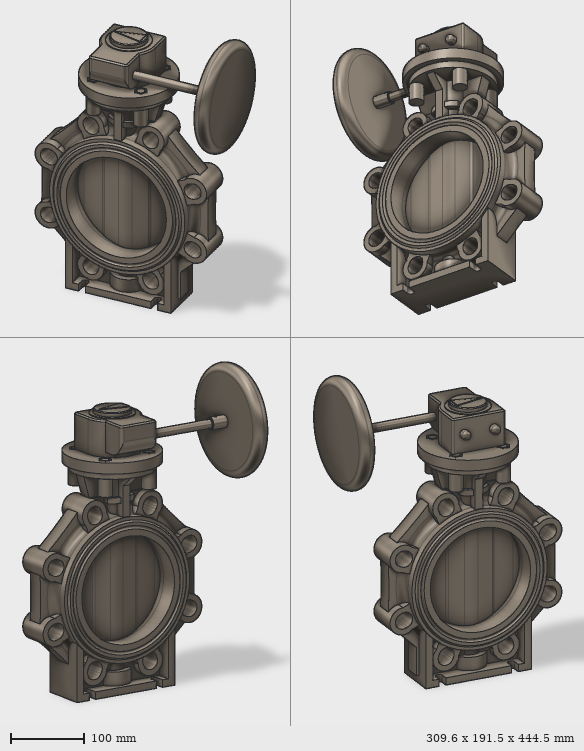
import cadquery as cq
import math


bore_radius = 76.5
barrel_radius = 103.0
barrel_half_length = 36.0
liner_half_length = 38.5
liner_outer_radius = 98.3
liner_crest_radius = 95.5
liner_groove_outer = 90.5
liner_groove_inner = 86.0
liner_groove_depth = 2.5

lug_count = 8
lug_step = 360 / lug_count
lug_circle_radius = 120.0
lug_radius = 20.0
lug_arm_half_width = 18.5
lug_half_length = 25.0
slot_centre_radius = 118.5
slot_width = 23.0
slot_length = 26.2
rim_half_thickness = 12.0
rim_mid_radius = 126.3
rim_corner_radius = 139.0
rim_cove_radius = 12.5

disc_hub_half_width = 10.2
disc_hub_half_thickness = 11.5
disc_hub_side = 10.5
disc_step_outer = 37.0
disc_step_inner = 33.5
disc_step_top = 7.5
disc_step_bottom = 6.2
disc_edge_x = 67.0
disc_edge_half_thickness = 3.5

bracket_bottom_z = -148.0
bracket_top_z = -57.0
bracket_half_width = 80.5
bracket_half_depth = 33.5
bracket_wall = 10.5
bracket_floor_z = bracket_bottom_z + bracket_wall
foot_slot_x = 55.0
foot_slot_width = 10.2
foot_slot_depth = 16.0
side_pad_thickness = 4.0
side_pad_bottom_z = -135.5
side_pad_top_z = -93.5
lower_bearing_radius = 26.0
lower_bearing_top_z = -118.0
lower_stem_radius = 16.5

neck_radius = 24.5
neck_bottom_z = 122.0
upper_stem_radius = 20.5
collar_radius = 30.0
collar_half_width = 22.0
collar_top_z = 130.3
neck_web_half_thickness = 9.5
neck_web_top_half_width = 54.2
neck_web_bottom_half_width = 44.5
lug_top_z = lug_circle_radius * math.cos(math.radians(lug_step / 2)) + lug_radius
neck_rib_half_width = 6.0
neck_rib_reach = 34.2
neck_rib_top_reach = 55.5
neck_rib_slope_z = 147.5
valve_flange_radius = 60.5
valve_flange_bottom_z = 165.0
joint_z = 174.7
nut_radius = 10.2
nut_bottom_z = 139.0

bolt_offset = 36.0
bolt_radius = 6.0
operator_flange_radius = 69.0
operator_flange_top_z = 190.5
hex_pocket_diameter = 19.0
hex_pocket_depth = 4.5

housing_radius = 40.5
housing_back_y = 34.2
housing_top_z = 242.5
housing_edge_chamfer = 2.2
housing_corner_radius = 3.0
nose_half_width = 30.0
nose_front_y = -65.5
nose_bottom_z = 197.5
nose_belly_radius = 22.5
nose_corner_radius = 5.0
nose_foot_half_width = 20.5
nose_foot_front_y = -38.2
screw_radius = 6.5
screw_x = 22.5
screw_z = 218.0
screw_end_y = 46.0
screw_dome = 5.5

indicator_base_radius = 32.0
indicator_base_height = 1.5
indicator_radius = 26.2
indicator_top_z = 250.0
indicator_chamfer = 1.5
pointer_top_z = 251.0
pointer_tip_x = -22.2
pointer_base_x = 21.5
pointer_half_width = 10.2

wheel_radius = 80.0
wheel_y = -42.5
wheel_z = 216.5
wheel_inner_x = 156.0
wheel_outer_x = 178.7
wheel_rim_radius = 11.0
shaft_radius = 6.2
hub_radius = 9.0
hub_start_x = 131.5
hub_chamfer = 1.0
pin_radius = 2.0
pin_x = 141.0
pin_rise = 1.5


def block(x0, x1, y0, y1, z0, z1):
    """Axis-aligned box between two opposite corners."""
    return cq.Workplane("XY").box(x1 - x0, y1 - y0, z1 - z0, centered=False).translate((x0, y0, z0))


def post(radius, z0, z1, x=0, y=0):
    """Vertical cylinder."""
    return cq.Workplane("XY", origin=(x, y, z0)).circle(radius).extrude(z1 - z0)


def rod(radius, x0, x1):
    """Cylinder along X on the handwheel axis."""
    return cq.Workplane("YZ", origin=(x0, wheel_y, wheel_z)).circle(radius).extrude(x1 - x0)


def flow_plane():
    """XZ sketch plane through the middle of the valve."""
    return cq.Workplane("XZ")


def bolt_points():
    return [(sx * bolt_offset, sy * bolt_offset) for sx in (-1, 1) for sy in (-1, 1)]


def lug_angles():
    return [(i + 0.5) * lug_step for i in range(lug_count)]


def polar(radius, degrees):
    angle = math.radians(degrees)
    return (radius * math.cos(angle), radius * math.sin(angle))


def make_ring():
    """Barrel with a grooved liner lip on both faces; profile in radius and Y."""
    groove_mid = (liner_groove_outer + liner_groove_inner) / 2
    groove_floor = liner_half_length - liner_groove_depth
    profile = (
        cq.Workplane("XY")
        .moveTo(bore_radius, 0)
        .lineTo(barrel_radius, 0)
        .lineTo(barrel_radius, barrel_half_length)
        .lineTo(liner_outer_radius, barrel_half_length)
        .lineTo(liner_crest_radius, liner_half_length)
        .lineTo(liner_groove_outer, liner_half_length)
        .threePointArc((groove_mid, groove_floor), (liner_groove_inner, liner_half_length))
        .lineTo(bore_radius, liner_half_length)
        .close()
    )
    half = profile.revolve(360, (0, 0, 0), (0, 1, 0))
    return half.union(half.mirror("XZ"))


def make_rim():
    """Eight-sided rim plate with slightly hollow sides, coved into the barrel."""
    corners = lug_angles()
    outline = flow_plane().moveTo(*polar(rim_corner_radius, corners[-1]))
    for angle in corners:
        outline = outline.threePointArc(
            polar(rim_mid_radius, angle - lug_step / 2), polar(rim_corner_radius, angle)
        )
    plate = outline.close().extrude(rim_half_thickness, both=True)

    cove_end_radius = barrel_radius + rim_cove_radius
    cove_end_y = rim_half_thickness + rim_cove_radius
    cove_drop = rim_cove_radius * math.sqrt(0.5)
    cove = (
        cq.Workplane("XY")
        .moveTo(bore_radius, 0)
        .lineTo(cove_end_radius, 0)
        .lineTo(cove_end_radius, rim_half_thickness)
        .threePointArc((cove_end_radius - cove_drop, cove_end_y - cove_drop), (barrel_radius, cove_end_y))
        .lineTo(bore_radius, cove_end_y)
        .close()
        .revolve(360, (0, 0, 0), (0, 1, 0))
    )
    return plate.union(cove.union(cove.mirror("XZ")))


def make_lug():
    """Round lug on +X with a straight arm running in to the barrel."""
    arm_inner_radius = (barrel_radius + bore_radius) / 2
    arm = block(
        arm_inner_radius, lug_circle_radius,
        -lug_half_length, lug_half_length,
        -lug_arm_half_width, lug_arm_half_width,
    )
    head = flow_plane().center(lug_circle_radius, 0).circle(lug_radius).extrude(lug_half_length, both=True)
    return arm.union(head)


def make_lug_slot():
    """Bolt slot through one lug, longer along the radius."""
    return (
        flow_plane()
        .center(slot_centre_radius, 0)
        .slot2D(slot_length, slot_width)
        .extrude(2 * lug_half_length, both=True)
    )


def turn(shape, degrees):
    """Turn a shape about the flow axis."""
    return shape.rotate((0, 0, 0), (0, -1, 0), degrees)


def make_bore():
    return flow_plane().circle(bore_radius).extrude(2 * liner_half_length, both=True)


def make_disc():
    """Closed disc: one cross-section along the stem, trimmed to the bore."""
    half = [
        (disc_step_inner, disc_step_top),
        (disc_step_outer, disc_step_bottom),
        (disc_edge_x, disc_edge_half_thickness),
        (barrel_radius, disc_edge_half_thickness),
    ]
    section = (
        cq.Workplane("XY", origin=(0, 0, -barrel_radius))
        .moveTo(-disc_hub_half_width, disc_hub_side)
        .threePointArc((0, disc_hub_half_thickness), (disc_hub_half_width, disc_hub_side))
        .polyline(half, includeCurrent=True)
        .lineTo(barrel_radius, 0)
        .lineTo(-barrel_radius, 0)
        .polyline([(-x, y) for x, y in reversed(half)], includeCurrent=True)
        .close()
        .extrude(2 * barrel_radius)
    )
    trim = flow_plane().circle((bore_radius + liner_groove_inner) / 2).extrude(liner_half_length, both=True)
    return section.union(section.mirror("XZ")).intersect(trim)


def make_bracket():
    """Foot bracket: two side walls, a slotted floor, a middle web and a side pad."""
    w, d = bracket_half_width, bracket_half_depth
    bracket = block(-w, w, -d, d, bracket_bottom_z, bracket_floor_z)
    for x0 in (-w, w - bracket_wall):
        bracket = bracket.union(block(x0, x0 + bracket_wall, -d, d, bracket_bottom_z, bracket_top_z))
    t = rim_half_thickness
    bracket = bracket.union(block(-w, w, -t, t, bracket_bottom_z, -barrel_radius + bracket_wall))
    bracket = bracket.union(block(w, w + side_pad_thickness, -t, t, side_pad_bottom_z, side_pad_top_z))
    for sx in (-1, 1):
        for sy in (-1, 1):
            slot = (
                cq.Workplane("XY", origin=(sx * foot_slot_x, sy * d, bracket_bottom_z))
                .slot2D(2 * foot_slot_depth, foot_slot_width, 90)
                .extrude(bracket_wall)
            )
            bracket = bracket.cut(slot)
    return bracket


def make_lower_bearing():
    stem = post(lower_stem_radius, bracket_floor_z, -barrel_radius + 4.5)
    return post(lower_bearing_radius, bracket_floor_z, lower_bearing_top_z).union(stem)


def make_neck():
    """Stem column with a collar, a cross web, front and back ribs, the top flange and its nuts."""
    ring_z = (bore_radius + barrel_radius) / 2
    neck = post(neck_radius, neck_bottom_z, valve_flange_bottom_z)
    neck = neck.union(post(upper_stem_radius, ring_z, neck_bottom_z))
    collar = post(collar_radius, neck_bottom_z, collar_top_z)
    trim = block(
        -collar_half_width, collar_half_width,
        -collar_radius, collar_radius,
        neck_bottom_z, collar_top_z,
    )
    neck = neck.union(collar.intersect(trim))
    web = (
        flow_plane()
        .polyline([
            (-neck_web_bottom_half_width, ring_z),
            (neck_web_bottom_half_width, ring_z),
            (neck_web_bottom_half_width, lug_top_z),
            (neck_web_top_half_width, valve_flange_bottom_z),
            (-neck_web_top_half_width, valve_flange_bottom_z),
            (-neck_web_bottom_half_width, lug_top_z),
        ])
        .close()
        .extrude(neck_web_half_thickness, both=True)
    )
    rib = (
        cq.Workplane("YZ")
        .polyline([
            (-neck_rib_reach, ring_z),
            (neck_rib_reach, ring_z),
            (neck_rib_reach, neck_rib_slope_z),
            (neck_rib_top_reach, valve_flange_bottom_z),
            (-neck_rib_top_reach, valve_flange_bottom_z),
            (-neck_rib_reach, neck_rib_slope_z),
        ])
        .close()
        .extrude(neck_rib_half_width, both=True)
    )
    shoulder = block(
        -neck_web_bottom_half_width, neck_web_bottom_half_width,
        -rim_half_thickness, rim_half_thickness,
        ring_z, lug_top_z,
    )
    neck = neck.union(web).union(rib).union(shoulder)
    neck = neck.union(post(valve_flange_radius, valve_flange_bottom_z, joint_z))
    for x, y in bolt_points():
        neck = neck.union(post(nut_radius, nut_bottom_z, valve_flange_bottom_z, x, y))
    return neck


def make_valve():
    valve = make_rim().union(make_ring())
    for angle in lug_angles():
        valve = valve.union(turn(make_lug(), angle))
    valve = valve.union(make_bracket()).union(make_lower_bearing()).union(make_neck())
    for angle in lug_angles():
        valve = valve.cut(turn(make_lug_slot(), angle))
    return valve.cut(make_bore()).union(make_disc())


def make_operator_flange():
    """Round flange with a hexagonal pocket around each bolt end."""
    flange = post(operator_flange_radius, joint_z, operator_flange_top_z)
    pocket_floor_z = operator_flange_top_z - hex_pocket_depth
    for x, y in bolt_points():
        pocket = (
            cq.Workplane("XY", origin=(x, y, pocket_floor_z))
            .polygon(6, hex_pocket_diameter)
            .extrude(hex_pocket_depth)
        )
        flange = flange.cut(pocket).union(post(bolt_radius, joint_z, operator_flange_top_z, x, y))
    return flange


def make_nose():
    """Worm-shaft nose in front of the gear case, chamfered on top, with a rounded belly."""
    nose = block(-nose_half_width, nose_half_width, nose_front_y, 0, nose_bottom_z, housing_top_z)
    nose = nose.edges("|Z and <Y").fillet(nose_corner_radius)
    nose = nose.faces(">Z").edges("not >Y").chamfer(housing_edge_chamfer)
    belly_y = nose_front_y + nose_belly_radius
    belly_z = nose_bottom_z + nose_belly_radius
    belly_drop = nose_belly_radius * math.sqrt(0.5)
    side = (
        cq.Workplane("YZ")
        .moveTo(0, nose_bottom_z)
        .lineTo(belly_y, nose_bottom_z)
        .threePointArc((belly_y - belly_drop, belly_z - belly_drop), (nose_front_y, belly_z))
        .lineTo(nose_front_y, housing_top_z)
        .lineTo(0, housing_top_z)
        .close()
        .extrude(nose_half_width, both=True)
    )
    return nose.intersect(side)


def make_housing():
    """Gear case: square at the back, round in front, with the nose, its foot and two rear screws."""
    r = housing_radius
    case = (
        cq.Workplane("XY", origin=(0, 0, operator_flange_top_z))
        .moveTo(-r, 0)
        .lineTo(-r, housing_back_y)
        .lineTo(r, housing_back_y)
        .lineTo(r, 0)
        .threePointArc((0, -r), (-r, 0))
        .close()
        .extrude(housing_top_z - operator_flange_top_z)
    )
    case = case.edges("|Z and >Y").fillet(housing_corner_radius)
    case = case.faces(">Z").chamfer(housing_edge_chamfer)
    case = case.union(make_nose())
    foot = block(
        -nose_foot_half_width, nose_foot_half_width,
        nose_foot_front_y, 0,
        operator_flange_top_z, nose_bottom_z,
    )
    case = case.union(foot)
    for sx in (-1, 1):
        screw = (
            cq.Workplane("XZ", origin=(sx * screw_x, screw_end_y, screw_z))
            .circle(screw_radius)
            .extrude(screw_end_y - housing_back_y / 2)
            .faces(">Y")
            .edges()
            .fillet(screw_dome)
        )
        case = case.union(screw)
    return case


def make_indicator():
    """Round position indicator with a raised pointer."""
    base = post(indicator_base_radius, housing_top_z, housing_top_z + indicator_base_height)
    dial = post(indicator_radius, housing_top_z, indicator_top_z).faces(">Z").chamfer(indicator_chamfer)
    pointer = (
        cq.Workplane("XY", origin=(0, 0, indicator_top_z))
        .polyline([
            (pointer_tip_x, 0),
            (pointer_base_x, -pointer_half_width),
            (pointer_base_x, pointer_half_width),
        ])
        .close()
        .extrude(pointer_top_z - indicator_top_z)
    )
    return base.union(dial).union(pointer)


def make_handwheel():
    """Shaft, pinned hub and solid wheel with a rounded rim."""
    shaft = rod(shaft_radius, 0, hub_start_x)
    hub = rod(hub_radius, hub_start_x, wheel_inner_x).faces("<X").chamfer(hub_chamfer)
    wheel = rod(wheel_radius, wheel_inner_x, wheel_outer_x).edges().fillet(wheel_rim_radius)
    pin = post(pin_radius, wheel_z, wheel_z + hub_radius + pin_rise, pin_x, wheel_y)
    return shaft.union(hub).union(wheel).union(pin)


def make_operator():
    return make_operator_flange().union(make_housing()).union(make_indicator()).union(make_handwheel())


valve = make_valve()
operator = make_operator()

result = cq.Compound.makeCompound([valve.val(), operator.val()])